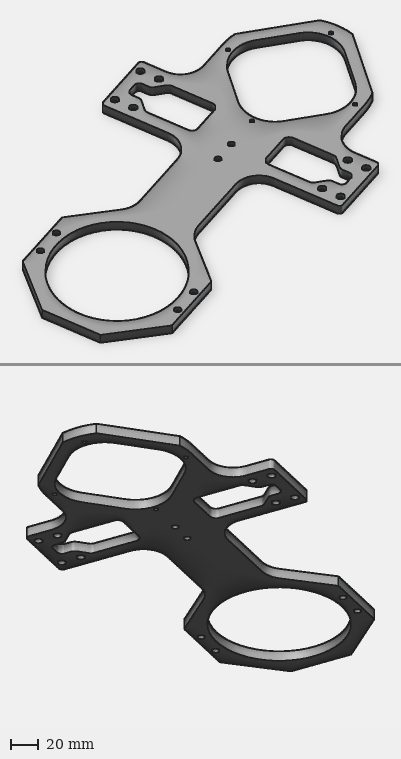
import cadquery as cq

THICKNESS = 8.0
LENGTH = 366.3

RING_HALF_WIDTH = 63.7
RING_HALF_HEIGHT = 63.0
RING_SIDE_HALF = 27.0
RING_BORE_RADIUS = 52.0
RING_HOLE_X = 58.5
RING_HOLE_Y = 11.0
RING_HOLE_DIAMETER = 5.5

NECK_HALF_WIDTH = 25.0
NECK_FILLET = 20.0
NECK_HOLE_DIAMETER = 5.0
NECK_HOLE_TOP_Y = 157.0
NECK_HOLE_PITCH = 18.3

ARM_HALF_SPAN = 102.2
ARM_TOP_Y = 196.7
ARM_HEIGHT = 54.0
ARM_BOTTOM_Y = ARM_TOP_Y - ARM_HEIGHT
ARM_CENTER_Y = ARM_TOP_Y - ARM_HEIGHT / 2
ARM_CORNER_RADIUS = 3.0
ARM_HOLE_X = (80.5, 96.5)
ARM_HOLE_Y = 17.5
ARM_HOLE_DIAMETER = 6.2

POCKET_INNER_X = 29.3
POCKET_OUTER_X = 92.3
POCKET_WIDE_HALF = 16.5
POCKET_NARROW_HALF = 7.0
POCKET_TAPER_START_X = 71.0
POCKET_CORNER_RADIUS = 5.0
POCKET_TIP_RADIUS = 4.0

TOP_Y = LENGTH - RING_HALF_HEIGHT
FRAME_HALF_WIDTH = 60.5
FRAME_BULGE = 2.0
FRAME_BULGE_HALF = 14.0

WINDOW_DEPTH = 63.5
WINDOW_CENTER_Y = TOP_Y - WINDOW_DEPTH
WINDOW_FLAT_TO_FLAT = 87.0
WINDOW_TIP_RADIUS = 27.5
WINDOW_HOLE_OFFSET = 54.2
WINDOW_HOLE_DIAMETER = 3.3


def rectangle(half_width, bottom_y, top_y):
    """Plate centred on X between two Y values."""
    return (
        cq.Workplane("XY")
        .center(0, (bottom_y + top_y) / 2)
        .rect(2 * half_width, top_y - bottom_y)
        .extrude(THICKNESS)
    )


def mirrored(points):
    """The points together with their mirror images across X = 0."""
    return [(side * x, y) for x, y in points for side in (1, -1)]


def vertical_edges_at(body, points):
    """Select the upright edges of the plate that stand on the given points."""
    reach = 0.5
    selected = body.newObject([])
    for x, y in points:
        box = cq.selectors.BoxSelector(
            (x - reach, y - reach, -reach), (x + reach, y + reach, THICKNESS + reach)
        )
        selected = selected.add(body.edges("|Z").edges(box))
    return selected


def make_ring():
    quarter = [(RING_HALF_WIDTH, RING_SIDE_HALF), (NECK_HALF_WIDTH, RING_HALF_HEIGHT)]
    upper = quarter + [(-x, y) for x, y in reversed(quarter)]
    lower = [(-x, -y) for x, y in upper]
    return cq.Workplane("XY").polyline(upper + lower).close().extrude(THICKNESS)


def make_frame():
    shoulder_x = FRAME_HALF_WIDTH - FRAME_BULGE
    bulge_end_y = TOP_Y - FRAME_HALF_WIDTH
    shoulder_y = bulge_end_y + FRAME_BULGE_HALF
    crown_y = TOP_Y - FRAME_BULGE
    side_radius = (FRAME_BULGE_HALF**2 + FRAME_BULGE**2) / (2 * FRAME_BULGE)
    middle_y = FRAME_BULGE_HALF / 2
    middle_x = FRAME_HALF_WIDTH - side_radius + (side_radius**2 - middle_y**2) ** 0.5
    return (
        cq.Workplane("XY")
        .moveTo(-FRAME_HALF_WIDTH, ARM_CENTER_Y)
        .lineTo(FRAME_HALF_WIDTH, ARM_CENTER_Y)
        .lineTo(FRAME_HALF_WIDTH, bulge_end_y)
        .threePointArc((middle_x, bulge_end_y + middle_y), (shoulder_x, shoulder_y))
        .lineTo(FRAME_BULGE_HALF, crown_y)
        .threePointArc((0, TOP_Y), (-FRAME_BULGE_HALF, crown_y))
        .lineTo(-shoulder_x, shoulder_y)
        .threePointArc((-middle_x, bulge_end_y + middle_y), (-FRAME_HALF_WIDTH, bulge_end_y))
        .close()
        .extrude(THICKNESS)
    )


def make_outline():
    arms = rectangle(ARM_HALF_SPAN, ARM_BOTTOM_Y, ARM_TOP_Y)
    neck = rectangle(NECK_HALF_WIDTH, 0, ARM_CENTER_Y)
    body = arms.union(neck).union(make_ring()).union(make_frame()).clean()
    inside_corners = mirrored([
        (NECK_HALF_WIDTH, RING_HALF_HEIGHT),
        (NECK_HALF_WIDTH, ARM_BOTTOM_Y),
        (FRAME_HALF_WIDTH, ARM_TOP_Y),
    ])
    body = vertical_edges_at(body, inside_corners).fillet(NECK_FILLET)
    arm_corners = mirrored([(ARM_HALF_SPAN, ARM_BOTTOM_Y), (ARM_HALF_SPAN, ARM_TOP_Y)])
    return vertical_edges_at(body, arm_corners).fillet(ARM_CORNER_RADIUS)


def make_pocket():
    """Cutter for the pocket in the +X arm."""
    taper_end_x = POCKET_TAPER_START_X + POCKET_WIDE_HALF - POCKET_NARROW_HALF
    upper = [
        (POCKET_INNER_X, POCKET_WIDE_HALF),
        (POCKET_TAPER_START_X, POCKET_WIDE_HALF),
        (taper_end_x, POCKET_NARROW_HALF),
        (POCKET_OUTER_X, POCKET_NARROW_HALF),
    ]
    lower = [(x, -y) for x, y in reversed(upper)]
    pocket = cq.Workplane("XY").polyline(upper + lower).close().extrude(THICKNESS)
    tip_corners = [(POCKET_OUTER_X, side * POCKET_NARROW_HALF) for side in (1, -1)]
    pocket = vertical_edges_at(pocket, tip_corners).fillet(POCKET_TIP_RADIUS)
    wide_corners = [(x, side * y) for x, y in upper[:3] for side in (1, -1)]
    pocket = vertical_edges_at(pocket, wide_corners).fillet(POCKET_CORNER_RADIUS)
    return pocket.translate((0, ARM_CENTER_Y, 0))


def make_window():
    """Cutter for the diamond window: a rounded square standing on its corner."""
    return (
        cq.Workplane("XY")
        .rect(WINDOW_FLAT_TO_FLAT, WINDOW_FLAT_TO_FLAT)
        .extrude(THICKNESS)
        .edges("|Z")
        .fillet(WINDOW_TIP_RADIUS)
        .rotate((0, 0, 0), (0, 0, 1), 45)
        .translate((0, WINDOW_CENTER_Y, 0))
    )


def make_holes(points, diameter):
    """Cutter for round through holes."""
    return cq.Workplane("XY").pushPoints(points).circle(diameter / 2).extrude(THICKNESS)


ring_holes = mirrored([(RING_HOLE_X, RING_HOLE_Y), (RING_HOLE_X, -RING_HOLE_Y)])
neck_holes = [(0, NECK_HOLE_TOP_Y), (0, NECK_HOLE_TOP_Y - NECK_HOLE_PITCH)]
arm_holes = mirrored([(x, ARM_CENTER_Y + side * ARM_HOLE_Y) for x in ARM_HOLE_X for side in (1, -1)])
window_holes = [
    (WINDOW_HOLE_OFFSET * dx, WINDOW_CENTER_Y + WINDOW_HOLE_OFFSET * dy)
    for dx, dy in ((1, 0), (-1, 0), (0, 1), (0, -1))
]

pocket_cutter = make_pocket()
result = (
    make_outline()
    .cut(make_window())
    .cut(pocket_cutter)
    .cut(pocket_cutter.mirror("YZ"))
    .cut(make_holes([(0, 0)], 2 * RING_BORE_RADIUS))
    .cut(make_holes(ring_holes, RING_HOLE_DIAMETER))
    .cut(make_holes(neck_holes, NECK_HOLE_DIAMETER))
    .cut(make_holes(arm_holes, ARM_HOLE_DIAMETER))
    .cut(make_holes(window_holes, WINDOW_HOLE_DIAMETER))
)